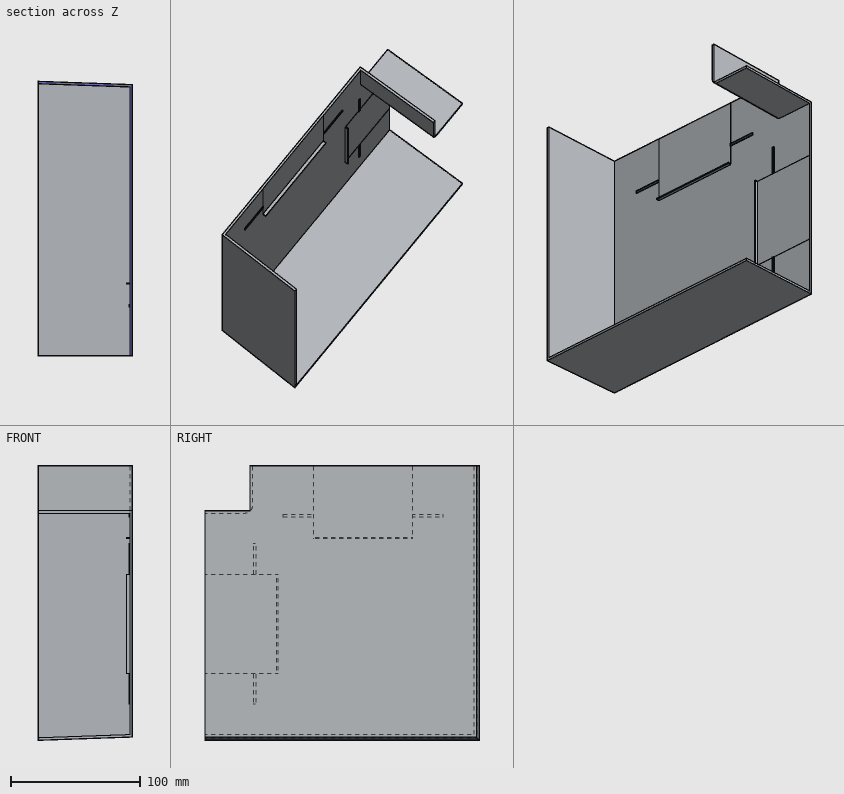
import cadquery as cq
import math


height = 73.0
side = 210.0
notch = 34.75
wall = 2.05
base = 2.0
draft_angle = 2.0
inner_corner_radius = 6.0

seat_width = 76.5
seat_depth = 55.5
seat_recess = 0.1
lip_thickness = 1.0
lip_height = 2.5

rib_length = 124.0
rib_width = 2.0
rib_height = 0.65
rib_distance = 38.7

flare = height * math.tan(math.radians(draft_angle))
floor_x = height - base
channel_centre = (side - notch) / 2


def swap_channels(body):
    """Mirror in the plane Z = -Y, exchanging the two channel ends."""
    return body.rotate((0, 0, 0), (1, 0, 0), 90).mirror("XY")


def box(x_range, y_range, z_range):
    """Axis-aligned box between the given limits."""
    (x0, x1), (y0, y1), (z0, z1) = x_range, y_range, z_range
    return cq.Workplane("XY").box(x1 - x0, y1 - y0, z1 - z0, centered=False).translate((x0, y0, z0))


def drafted_block(inset, x_end):
    """Square block from the rim to x_end whose +Y and -Z sides lean outwards.

    The leaning sides are moved inwards by inset.
    """
    rim = flare - inset
    end = rim - x_end * math.tan(math.radians(draft_angle))
    profile = [(0, -side), (0, rim), (x_end, end), (x_end, -side)]
    lean_y = cq.Workplane("XY", origin=(0, 0, -side)).polyline(profile).close().extrude(2 * side)
    return lean_y.intersect(swap_channels(lean_y))


def notch_block(margin):
    """Square prism over the inner corner, enlarged by margin."""
    size = notch + margin
    return box((0, height), (-side, size - side), (side - size, side))


def make_shell():
    outer = drafted_block(0, height).cut(notch_block(0))
    notch_wall = notch_block(wall).edges("|X and >Y and <Z").fillet(inner_corner_radius)
    cavity = drafted_block(wall, floor_x).cut(notch_wall)
    return outer.cut(cavity)


def add_end_features(body):
    """Rib, recessed seat and stop lip at the +Z channel end."""
    def across(width):
        return (-channel_centre - width / 2, -channel_centre + width / 2)

    rib_z = side - rib_distance
    seat_bottom = side - seat_depth
    rib = box((floor_x - rib_height, floor_x), across(rib_length),
              (rib_z - rib_width / 2, rib_z + rib_width / 2))
    seat = box((floor_x - rib_height, floor_x + seat_recess), across(seat_width), (seat_bottom, side))
    lip = box((floor_x - lip_height, floor_x), across(seat_width),
              (seat_bottom - lip_thickness, seat_bottom))
    return body.union(rib).cut(seat).union(lip)


half_fitted = add_end_features(make_shell())
result = add_end_features(swap_channels(half_fitted))